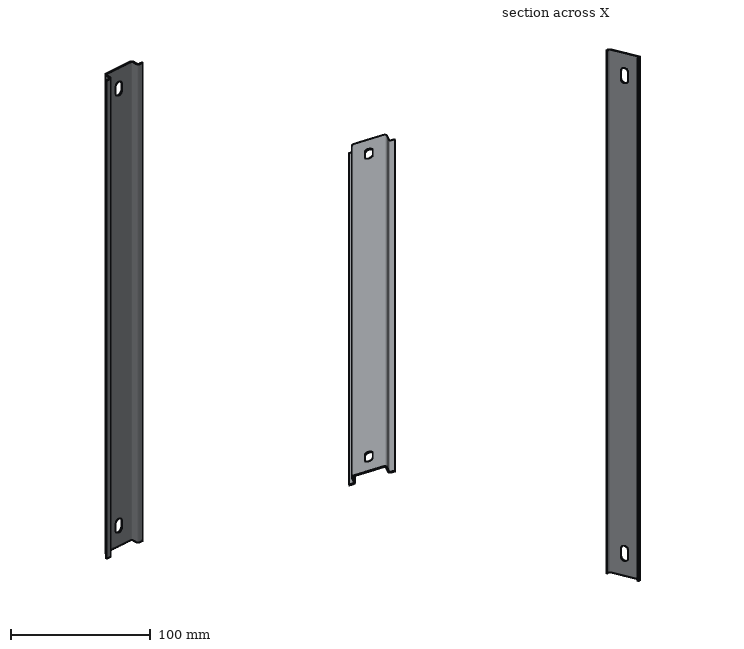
import cadquery as cq

length = 410.0
rail_width = 35.0
web_width = 27.0
depth = 7.5
thickness = 1.0
inner_bend_radius = 1.0
outer_bend_radius = inner_bend_radius + thickness

slot_width = 6.0
slot_length = 12.0
slot_end_distance = 17.5


def make_rail():
    """Hat section: web at the -X side, flanges turned outward at the +X side."""
    web_x = -depth / 2
    flange_x = depth / 2
    half_web = web_width / 2
    half_rail = rail_width / 2
    half_channel = half_web - thickness

    profile = [
        (web_x, -half_web),
        (flange_x - thickness, -half_web),
        (flange_x - thickness, -half_rail),
        (flange_x, -half_rail),
        (flange_x, -half_channel),
        (web_x + thickness, -half_channel),
        (web_x + thickness, half_channel),
        (flange_x, half_channel),
        (flange_x, half_rail),
        (flange_x - thickness, half_rail),
        (flange_x - thickness, half_web),
        (web_x, half_web),
    ]
    rail = cq.Workplane("XY").polyline(profile).close().extrude(length / 2, both=True)

    for side in (-1, 1):
        outer_corners = [(web_x, side * half_web), (flange_x, side * half_channel)]
        inner_corners = [
            (web_x + thickness, side * half_channel),
            (flange_x - thickness, side * half_web),
        ]
        for corners, radius in (
            (outer_corners, outer_bend_radius),
            (inner_corners, inner_bend_radius),
        ):
            for x, y in corners:
                corner_edge = cq.selectors.NearestToPointSelector((x, y, 0))
                rail = rail.edges("|Z").edges(corner_edge).fillet(radius)
    return rail


def make_slots():
    """Round-ended cutters through the web near both rail ends."""
    slot_z = length / 2 - slot_end_distance
    return (
        cq.Workplane("YZ")
        .pushPoints([(0, -slot_z), (0, slot_z)])
        .slot2D(slot_length, slot_width, 90)
        .extrude(depth, both=True)
    )


result = make_rail().cut(make_slots())